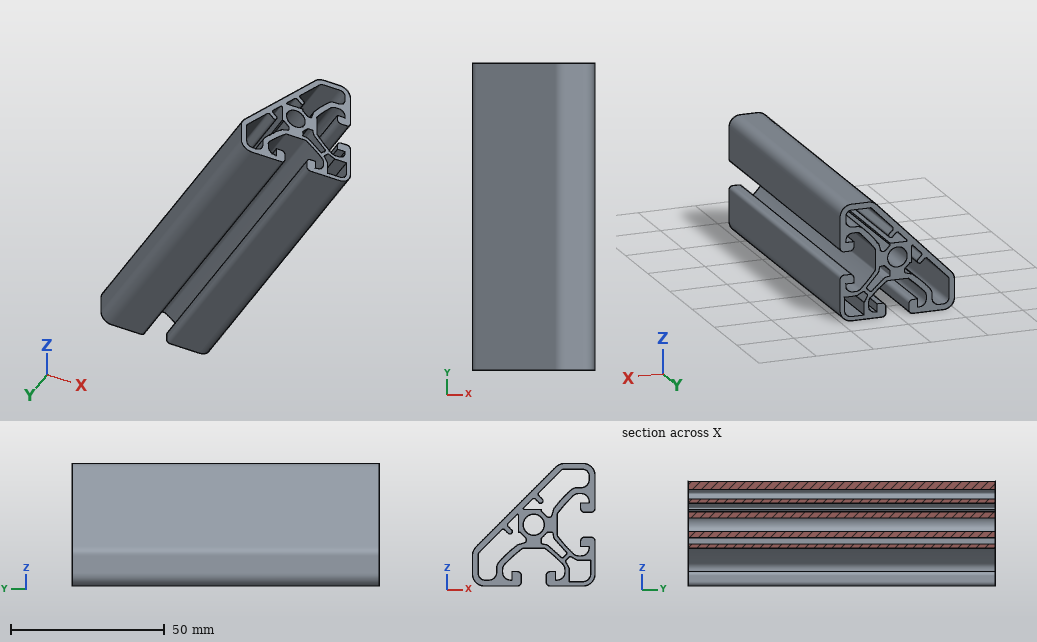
import cadquery as cq
import math


length = 100.0
half_side = 20.0
corner_radius = 4.0
slant_radius = 4.2
slant_offset = 11.6
wall = 2.0
inner_face = half_side - wall
bore_diameter = 6.8

mouth_half = 4.0
lip_back = 15.2
lip_depth = 7.1
lip_radius = 1.4
slot_half = 10.1
slot_floor = 7.7
hollow_radius = 2.5
bend_radius = 2.5
floor_radius = 1.0
flank_start = (13.5, slot_half)
flank_middle = (9.9, 6.4)
flank_end = (slot_floor, 3.6)
flank_radius = 40.0

rim_side = 2.5
rim_bevel = 1.9
rim_flat = 5.0

inner_slant = slant_offset - wall * math.sqrt(2)
chamber_floor = slot_half + wall
web_start = (13.0, chamber_floor)
web_middle = (9.0, 8.6)
web_end = (6.5, 5.2)
web_bend_radius = 3.0
web_radius = 38.0
nook_end = 5.7
nook_radius = 0.7
slant_bend_radius = 1.0
corner_tip_radius = 0.3

hook_middle = 10.0
hook_end = 4.4
hook_thickness = 1.6
hook_tip_radius = 0.7
hook_root_radius = 0.7

web_pocket_side = 6.2
web_pocket_bend = (6.5, -4.4)
web_pocket_end = (10.9, -9.3)
web_pocket_radius = 0.3
web_pocket_bend_radius = 2.0

pocket_wall = 1.5
pocket_edge = slot_half + pocket_wall
pocket_face = half_side - pocket_wall
pocket_peak = (11.8, -10.3)
pocket_shoulder = 14.2
pocket_peak_radius = 0.5


def corner_arc(previous, corner, following, radius):
    """Return the start, middle and end of the tangent arc that rounds a corner."""
    x, z, _ = corner
    toward_previous = math.atan2(previous[1] - z, previous[0] - x)
    toward_following = math.atan2(following[1] - z, following[0] - x)
    half_turn = math.remainder(toward_following - toward_previous, 2 * math.pi) / 2
    opening = abs(half_turn)
    tangent_length = radius / math.tan(opening)
    middle_distance = radius / math.sin(opening) - radius

    def at(distance, angle):
        return (x + distance * math.cos(angle), z + distance * math.sin(angle))

    return (
        at(tangent_length, toward_previous),
        at(middle_distance, toward_previous + half_turn),
        at(tangent_length, toward_following),
    )


def prism(outline):
    """Extrude a closed outline with rounded corners along the whole profile."""
    section = cq.Workplane("XZ")
    for i, corner in enumerate(outline):
        x, z, radius = corner
        start = (x, z)
        if radius:
            following = outline[(i + 1) % len(outline)]
            start, middle, end = corner_arc(outline[i - 1], corner, following, radius)
        section = section.lineTo(*start) if i else section.moveTo(*start)
        if radius:
            section = section.threePointArc(middle, end)
    return section.close().extrude(length / 2, both=True)


def mirrored(outline):
    """Continue an outline on the other side of the symmetry plane x = -z."""
    return [(-z, -x, radius) for x, z, radius in reversed(outline)]


def slot_outline():
    upper = [
        (half_side, mouth_half, lip_radius),
        (lip_back, mouth_half, lip_radius),
        (lip_back, lip_depth, 0),
        (inner_face, lip_depth, 0),
        (inner_face, slot_half, hollow_radius),
        (*flank_start, bend_radius),
        (*flank_middle, flank_radius),
        (*flank_end, floor_radius),
    ]
    lower = [(x, -z, radius) for x, z, radius in reversed(upper)]
    return upper + lower


def body():
    side = [
        (half_side - slant_offset, half_side, slant_radius),
        (half_side, half_side, corner_radius),
    ] + slot_outline()
    square_corner = (half_side, -half_side, corner_radius)
    return prism(side + [square_corner] + mirrored(side))


def hook_corner(side, end, radius):
    """Place a corner where a long side of the hook meets the line z = x + end."""
    total = hook_middle + side * hook_thickness / math.sqrt(2)
    return ((total - end) / 2, (total + end) / 2, radius)


def chamber():
    return prism([
        (inner_face, inner_face, corner_radius - wall),
        (inner_face - inner_slant, inner_face, slant_bend_radius),
        hook_corner(1, inner_slant, hook_root_radius),
        hook_corner(1, hook_end, hook_tip_radius),
        hook_corner(-1, hook_end, hook_tip_radius),
        hook_corner(-1, inner_slant, hook_root_radius),
        (rim_flat - inner_slant, rim_flat, corner_tip_radius),
        (rim_side, rim_flat, 0),
        (rim_side, rim_side + rim_bevel, 0),
        (rim_side + rim_bevel, rim_side, nook_radius),
        (nook_end, rim_side, nook_radius),
        (*web_end, 0),
        (*web_middle, web_radius),
        (*web_start, web_bend_radius),
        (inner_face, chamber_floor, hollow_radius),
    ])


def web_pocket():
    side = [
        (rim_side + rim_bevel, -rim_side, 0),
        (web_pocket_side, -rim_side, web_pocket_radius),
        (*web_pocket_bend, web_pocket_bend_radius),
        (*web_pocket_end, web_pocket_radius),
    ]
    return prism(side + mirrored(side))


def corner_pocket():
    side = [
        (*pocket_peak, pocket_peak_radius),
        (pocket_shoulder, -pocket_edge, 0),
        (pocket_face, -pocket_edge, 0),
    ]
    square_corner = (pocket_face, -pocket_face, corner_radius - pocket_wall)
    return prism(side + [square_corner] + mirrored(side))


def bore():
    return cq.Workplane("XZ").circle(bore_diameter / 2).extrude(length / 2, both=True)


upper_chamber = chamber()
lower_chamber = upper_chamber.mirror((1, 0, 1))

result = body()
for hollow in (upper_chamber, lower_chamber, web_pocket(), corner_pocket(), bore()):
    result = result.cut(hollow)